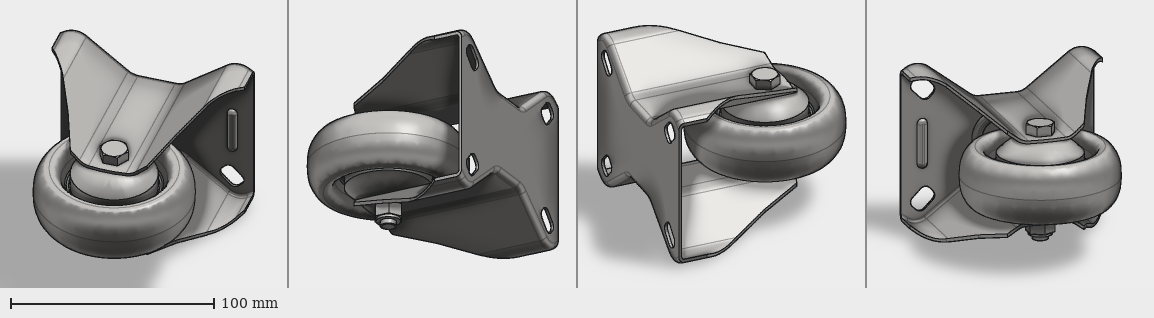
import cadquery as cq
import math


SHEET = 1.5
PLATE_Y = 68.0
PLATE_WIDTH = 100.0
PLATE_HEIGHT = 84.0
BEND_OUTER_RADIUS = 3.0
BEND_INNER_RADIUS = BEND_OUTER_RADIUS - SHEET
WEB_Z = 22.0
WEB_HALF_WIDTH = 9.7
TAIL_ANGLE = math.radians(33.5)
VALLEY_RADIUS = 8.3
CREST_RADIUS = 10.0
CREST_X = 42.4
PLATE_INNER_Y = PLATE_Y - SHEET

SHOULDER_Y = 52.9
UPPER_KNEE = (37.8, 32.8)
LOWER_KNEE = (28.0, 12.2)
ARM_TIP = (19.9, -8.5)
ARM_END_Y = -11.5

SLOT_X = 38.8
SLOT_Z = 28.7
SLOT_WIDTH = 9.0
SLOT_LENGTH = 12.5
SLOT_CORNER_RADIUS = 3.2
SLOT_TILT = 45
RIB_HEIGHT = 2.3
RIB_WIDTH = 5.3
RIB_EDGE_RADIUS = 2.2
BAR_X = 39.1
BAR_LENGTH = 25.7
RING_OUTER_RADIUS = 13.3

BOLT_RADIUS = 4.0
BOLT_LENGTH = 55.0
BOLT_TIP_CHAMFER = 0.6
HEAD_HEIGHT = 5.3
HEAD_CHAMFER_ANGLE = math.radians(30)
HEX_ACROSS_FLATS = 13.0
HEX_ACROSS_CORNERS = HEX_ACROSS_FLATS / math.cos(math.pi / 6)
NUT_TURN = 30
NUT_HEX_HEIGHT = 6.7
NUT_COLLAR_HEIGHT = 1.4
NUT_COLLAR_RADIUS = 6.0

TYRE_RADIUS = 40.0
SHOULDER = (36.4, 12.6)
TYRE_HALF_WIDTH = 15.0
RIM_RADIUS = 32.1
FLARE_RADIUS = 26.2
FLARE_Z = 8.6
FLARE_END_DIRECTION = (-0.3, -1)

HUB_RADIUS = 24.4
HUB_HALF_WIDTH = 5.4
HUB_CHAMFER = 0.8
POCKET_RADIUS = 22.5
POCKET_Z = 3.9
CAP_RADIUS = 21.7
CAP_SEAM_Z = 12.0
CAP_TOP_Z = 20.3
DOME_FLANK = (15.9, 17.1)
DOME_BROW = (10.0, 19.8)
DOME_SEAM_SLOPE = 1.0


def mirrored(corner):
    """The solid joined with its mirror images across the X = 0 and Z = 0 planes."""
    half = corner.union(corner.mirror("YZ"))
    return half.union(half.mirror("XY"))


def arm_profile_body(inset, half_width, back_y, back_radius):
    """Block with the bracket's waisted outline moved inwards by `inset`, its back edges rounded."""
    valley_radius = VALLEY_RADIUS + inset
    crest_radius = CREST_RADIUS - inset
    valley_center = (WEB_HALF_WIDTH, WEB_Z + VALLEY_RADIUS)
    crest_center = (CREST_X, PLATE_HEIGHT / 2 - CREST_RADIUS)

    run = crest_center[0] - valley_center[0]
    rise = crest_center[1] - valley_center[1]
    slope = math.atan2(rise, run) + math.asin((VALLEY_RADIUS + CREST_RADIUS) / math.hypot(run, rise))

    def on_valley(angle):
        return (
            valley_center[0] + valley_radius * math.sin(angle),
            valley_center[1] - valley_radius * math.cos(angle),
        )

    def on_crest(angle):
        return (
            crest_center[0] + crest_radius * math.sin(angle),
            crest_center[1] + crest_radius * math.cos(angle),
        )

    tail_x, tail_z = on_crest(TAIL_ANGLE)
    tail_end_z = tail_z - (half_width - tail_x) * math.tan(TAIL_ANGLE)
    corner = (
        cq.Workplane("XZ", origin=(0, back_y, 0))
        .lineTo(0, WEB_Z - inset)
        .lineTo(*on_valley(0))
        .threePointArc(on_valley(slope / 2), on_valley(slope))
        .lineTo(*on_crest(-slope))
        .threePointArc(on_crest(0), on_crest(TAIL_ANGLE))
        .lineTo(half_width, tail_end_z)
        .lineTo(half_width, 0)
        .close()
        .extrude(back_y - ARM_END_Y)
    )
    return mirrored(corner).faces(">Y").edges("not |Z").fillet(back_radius)


def side_trim():
    """Prism along Z with the tapering side outline of the plate and arms."""
    half_width = PLATE_WIDTH / 2
    right_side = [(half_width, PLATE_Y), (half_width, SHOULDER_Y), UPPER_KNEE, LOWER_KNEE]
    left_side = [(-x, y) for x, y in reversed(right_side)]
    return (
        cq.Workplane("XY", origin=(0, 0, -PLATE_HEIGHT / 2))
        .polyline(right_side)
        .lineTo(*ARM_TIP)
        .threePointArc((0, ARM_END_Y), (-ARM_TIP[0], ARM_TIP[1]))
        .lineTo(*left_side[0])
        .polyline(left_side)
        .close()
        .extrude(PLATE_HEIGHT)
    )


def slot_cutters():
    """Rounded rectangles through the plate at its four corners."""
    corner = (
        cq.Workplane("XZ", origin=(0, PLATE_Y, 0))
        .center(SLOT_X, SLOT_Z)
        .transformed(rotate=(0, 0, SLOT_TILT))
        .rect(SLOT_LENGTH, SLOT_WIDTH)
        .extrude(SHEET)
        .edges("|Y")
        .fillet(SLOT_CORNER_RADIUS)
    )
    return mirrored(corner)


def plate_ribs():
    """Two upright bars and a ring between them, standing on the inner face of the plate."""
    plate_face = cq.Workplane("XZ", origin=(0, PLATE_INNER_Y, 0))
    bars = (
        plate_face.pushPoints([(-BAR_X, 0), (BAR_X, 0)])
        .slot2D(BAR_LENGTH, RIB_WIDTH, angle=90)
        .extrude(RIB_HEIGHT)
    )
    ring = (
        plate_face.circle(RING_OUTER_RADIUS)
        .circle(RING_OUTER_RADIUS - RIB_WIDTH)
        .extrude(RIB_HEIGHT)
    )
    return bars.union(ring).faces("<Y").edges().fillet(RIB_EDGE_RADIUS)


def bolt_hole():
    """Cylinder of the bolt's diameter, long enough to pass through every part on the axis."""
    return (
        cq.Workplane("XY", origin=(0, 0, -PLATE_HEIGHT / 2))
        .circle(BOLT_RADIUS)
        .extrude(PLATE_HEIGHT)
    )


def make_bracket():
    """Plate with two flared arms, bent from one sheet."""
    outside = arm_profile_body(0, PLATE_WIDTH / 2, PLATE_Y, BEND_OUTER_RADIUS)
    inside = arm_profile_body(SHEET, PLATE_WIDTH / 2 + SHEET, PLATE_INNER_Y, BEND_INNER_RADIUS)
    return (
        outside.cut(inside)
        .intersect(side_trim())
        .cut(slot_cutters())
        .cut(bolt_hole())
        .union(plate_ribs())
    )


def make_bolt():
    """Hexagon bolt, its head on the upper arm and its tip below the nut."""
    corner_radius = HEX_ACROSS_CORNERS / 2
    crown_radius = HEX_ACROSS_FLATS / 2
    crown_drop = (corner_radius - crown_radius) * math.tan(HEAD_CHAMFER_ANGLE)
    head_top_z = WEB_Z + HEAD_HEIGHT
    head_envelope = (
        cq.Workplane("XZ")
        .moveTo(0, WEB_Z)
        .lineTo(corner_radius, WEB_Z)
        .lineTo(corner_radius, head_top_z - crown_drop)
        .lineTo(crown_radius, head_top_z)
        .lineTo(0, head_top_z)
        .close()
        .revolve(360, (0, 0), (0, 1))
    )
    head = (
        cq.Workplane("XY", origin=(0, 0, WEB_Z))
        .polygon(6, HEX_ACROSS_CORNERS)
        .extrude(HEAD_HEIGHT)
        .intersect(head_envelope)
    )
    shank = (
        cq.Workplane("XY", origin=(0, 0, WEB_Z))
        .circle(BOLT_RADIUS)
        .extrude(-BOLT_LENGTH)
        .faces("<Z")
        .chamfer(BOLT_TIP_CHAMFER / 2, BOLT_TIP_CHAMFER)
    )
    return head.union(shank)


def make_nut():
    """Hexagon nut with a round locking collar, seated on the lower arm."""
    return (
        cq.Workplane("XY", origin=(0, 0, -WEB_Z))
        .transformed(rotate=(0, 0, NUT_TURN))
        .polygon(6, HEX_ACROSS_CORNERS)
        .extrude(-NUT_HEX_HEIGHT)
        .faces("<Z")
        .workplane()
        .circle(NUT_COLLAR_RADIUS)
        .extrude(NUT_COLLAR_HEIGHT)
        .cut(bolt_hole())
    )


def make_tyre():
    """Tyre with a rounded tread, rounded shoulders and flared openings."""
    half = (
        cq.Workplane("XZ")
        .moveTo(HUB_RADIUS, 0)
        .lineTo(TYRE_RADIUS, 0)
        .spline(
            [SHOULDER, (RIM_RADIUS, TYRE_HALF_WIDTH)],
            tangents=[(0, 1), (-1, 0)],
            includeCurrent=True,
        )
        .spline(
            [(FLARE_RADIUS, FLARE_Z)],
            tangents=[(-1, 0), FLARE_END_DIRECTION],
            includeCurrent=True,
        )
        .lineTo(HUB_RADIUS, HUB_HALF_WIDTH)
        .close()
        .revolve(360, (0, 0), (0, 1))
    )
    return half.union(half.mirror("XY"))


def make_hub():
    """Disc inside the tyre with a chamfered lip and a round pocket on each side."""
    half = (
        cq.Workplane("XZ")
        .lineTo(HUB_RADIUS, 0)
        .lineTo(HUB_RADIUS, HUB_HALF_WIDTH)
        .lineTo(HUB_RADIUS - HUB_CHAMFER, HUB_HALF_WIDTH - HUB_CHAMFER)
        .lineTo(POCKET_RADIUS, HUB_HALF_WIDTH - HUB_CHAMFER)
        .lineTo(POCKET_RADIUS, POCKET_Z)
        .lineTo(0, POCKET_Z)
        .close()
        .revolve(360, (0, 0), (0, 1))
    )
    return half.union(half.mirror("XY")).cut(bolt_hole())


def make_cap(side):
    """Domed cap standing in the hub pocket on the +Z (`side` = 1) or -Z (`side` = -1) side."""
    dome_points = [(r, side * z) for r, z in (DOME_FLANK, DOME_BROW, (0, CAP_TOP_Z))]
    return (
        cq.Workplane("XZ")
        .moveTo(0, side * POCKET_Z)
        .lineTo(CAP_RADIUS, side * POCKET_Z)
        .lineTo(CAP_RADIUS, side * CAP_SEAM_Z)
        .spline(
            dome_points,
            tangents=[(-1, side * DOME_SEAM_SLOPE), (-1, 0)],
            includeCurrent=True,
        )
        .close()
        .revolve(360, (0, 0), (0, 1))
        .cut(bolt_hole())
    )


bracket = make_bracket()
bolt = make_bolt()
nut = make_nut()
tyre = make_tyre()
hub = make_hub()
caps = [make_cap(side) for side in (1, -1)]

result = cq.Compound.makeCompound(
    [bracket.val(), bolt.val(), nut.val(), tyre.val(), hub.val(), *[cap.val() for cap in caps]]
)